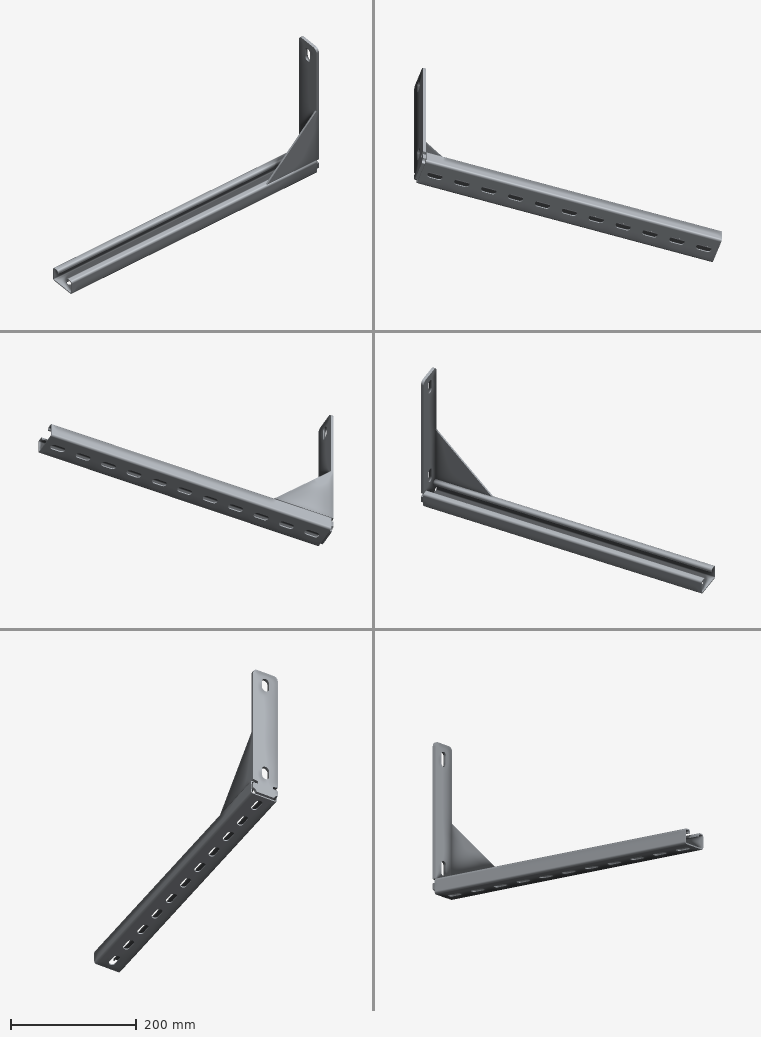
import cadquery as cq

total_length = 500.0
back_y = total_length / 2
free_end_y = -back_y

plate_thickness = 5.0
channel_length = total_length - plate_thickness
channel_width = 48.0
channel_height = 26.0
wall = 2.0
outer_bend_radius = 4.0
inner_bend_radius = outer_bend_radius - wall
lip_opening = 22.0
lip_depth = 6.0

slot_count = 11
slot_pitch = 45.0
slot_length = 25.0
slot_width = 11.0
first_slot_offset = 22.5

plate_front_y = back_y - plate_thickness
plate_width = 45.0
plate_half_width = plate_width / 2
plate_height = 250.0
plate_bottom_z = wall
plate_top_z = plate_bottom_z + plate_height
top_corner_radius = 7.5
corner_relief_radius = 6.0

fixing_slot_length = 25.0
fixing_slot_width = 12.5
fixing_slot_from_top = 25.0
fixing_slot_spacing = 180.0

notch_centre_z = 22.0
notch_depth = 9.0
notch_mouth_height = 7.0
notch_inner_height = 5.0
notch_end_bulge = 1.0

gusset_leg = 100.0
gusset_thickness = 3.0

SIDES = (-1, 1)


def section_plane(start_y, centre_z=0.0):
    """XZ workplane at start_y; a negative extrusion from it runs toward +Y."""
    return cq.Workplane("XZ", origin=(0, start_y, centre_z))


def round_bends(body, corners, radius):
    """Fillet the lengthwise edges that pass through the given (x, z) section corners."""
    middle_y = free_end_y + channel_length / 2
    for x, z in corners:
        body = body.edges(cq.selectors.NearestToPointSelector((x, middle_y, z))).fillet(radius)
    return body


def make_half_channel():
    """The +X half of the bent section, from the floor's centre line to the lip."""
    outer_x = channel_width / 2
    inner_x = outer_x - wall
    lip_x = lip_opening / 2
    lip_back_x = lip_x + wall
    ceiling_z = channel_height - wall
    lip_bottom_z = channel_height - lip_depth

    outer_corners = [(outer_x, 0), (outer_x, channel_height), (lip_x, channel_height)]
    lip_end = [(lip_x, lip_bottom_z), (lip_back_x, lip_bottom_z)]
    inner_corners = [(lip_back_x, ceiling_z), (inner_x, ceiling_z), (inner_x, wall)]
    outline = [(0, 0), *outer_corners, *lip_end, *inner_corners, (0, wall)]

    half = section_plane(free_end_y).polyline(outline).close().extrude(-channel_length)
    half = round_bends(half, outer_corners, outer_bend_radius)
    return round_bends(half, inner_corners, inner_bend_radius)


def make_channel():
    half = make_half_channel()
    channel = half.union(half.mirror("YZ")).clean()
    slot_centres = [(0, free_end_y + first_slot_offset + i * slot_pitch) for i in range(slot_count)]
    floor_slots = (
        cq.Workplane("XY")
        .pushPoints(slot_centres)
        .slot2D(slot_length, slot_width, 90)
        .extrude(wall)
    )
    return channel.cut(floor_slots)


def make_fixing_slots():
    upper_z = plate_top_z - fixing_slot_from_top
    centres = [(0, upper_z), (0, upper_z - fixing_slot_spacing)]
    return (
        section_plane(plate_front_y)
        .pushPoints(centres)
        .slot2D(fixing_slot_length, fixing_slot_width, 90)
        .extrude(-plate_thickness)
    )


def make_corner_reliefs():
    """Round cutters centred on the two bottom corners of the plate."""
    return (
        section_plane(plate_front_y, plate_bottom_z)
        .pushPoints([(side * plate_half_width, 0) for side in SIDES])
        .circle(corner_relief_radius)
        .extrude(-plate_thickness)
    )


def make_notch(side):
    """Cutter that narrows inward from the plate side and ends in an arc."""
    mouth_x = side * plate_half_width
    end_x = side * (plate_half_width - notch_depth)
    arc_start_x = end_x + side * notch_end_bulge
    half_mouth = notch_mouth_height / 2
    half_inner = notch_inner_height / 2
    return (
        section_plane(plate_front_y, notch_centre_z)
        .moveTo(mouth_x, half_mouth)
        .lineTo(arc_start_x, half_inner)
        .threePointArc((end_x, 0), (arc_start_x, -half_inner))
        .lineTo(mouth_x, -half_mouth)
        .close()
        .extrude(-plate_thickness)
    )


def make_plate():
    plate = (
        section_plane(plate_front_y, plate_bottom_z + plate_height / 2)
        .rect(plate_width, plate_height)
        .extrude(-plate_thickness)
        .edges("|Y and >Z")
        .fillet(top_corner_radius)
    )
    plate = plate.cut(make_fixing_slots()).cut(make_corner_reliefs())
    for side in SIDES:
        plate = plate.cut(make_notch(side))
    return plate


def make_gusset():
    """Triangle standing on the channel top, flush with the +X side of the plate."""
    corner = (plate_half_width - gusset_thickness, plate_front_y, channel_height)
    return (
        cq.Workplane("YZ", origin=corner)
        .polyline([(0, 0), (-gusset_leg, 0), (0, gusset_leg)])
        .close()
        .extrude(gusset_thickness)
    )


channel = make_channel()
plate = make_plate()
gusset = make_gusset()

result = cq.Compound.makeCompound([body.solids().val() for body in (channel, plate, gusset)])